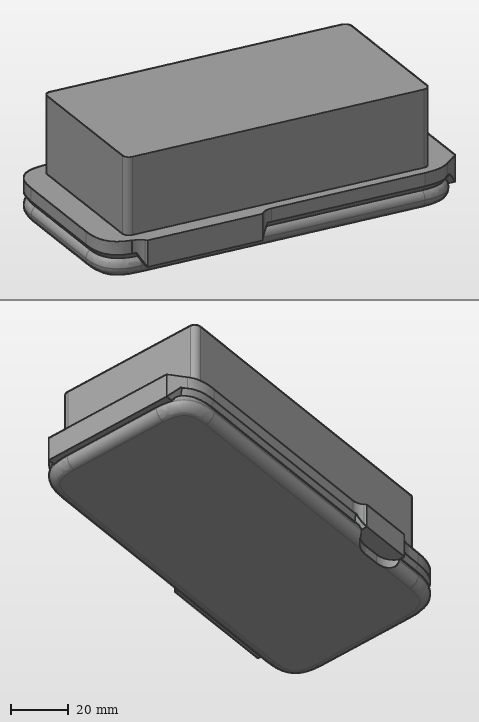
import cadquery as cq
import math

BODY_WIDTH = 68.5
OVERALL_LENGTH = 142.3
OVERALL_WIDTH = 73.3
FRONT_Y = -OVERALL_LENGTH / 2
BACK_Y = 69.0
CORNER_SIZE = 14.2
CORNER_FULLNESS = 0.7

TAB_BOTTOM = 4.0
CUSHION_TOP = 7.7
FLANGE_BOTTOM = 9.1
FLANGE_TOP = 14.2
OVERALL_HEIGHT = 44.3

GROOVE_DEPTH = 1.9
GROOVE_BOTTOM = 6.5
CUSHION_RADIUS = 0.49 * CUSHION_TOP

TAB_REACH = (OVERALL_WIDTH - BODY_WIDTH) / 2
TAB_ROOT_DEPTH = 4.3
TAB_FLARE = 3.1
TAB_ROOT_RADIUS = 5.7
LEFT_TAB_Y = (-46.5, -26.0)
RIGHT_TAB_Y = (-55.8, -10.4)
BACK_TAB_HALF_WIDTH = 26.5
BACK_TAB_FLANK_SLOPE = 0.8

SCOOP_DEPTH = 4.3
SCOOP_FLAT = 6.3

BLOCK_WIDTH = 60.0
BLOCK_LENGTH = 2 * BLOCK_WIDTH
BLOCK_CENTER = (0.3, -0.9)
BLOCK_RADIUS = 2.5


def body_outline(inset, z):
    """Rounded rectangle with soft corners, moved inward by inset."""
    x = BODY_WIDTH / 2 - inset
    front = FRONT_Y + inset
    back = BACK_Y - inset
    size = CORNER_SIZE - inset
    handle = size * (1 - CORNER_FULLNESS)
    return (
        cq.Workplane("XY", origin=(0, 0, z))
        .moveTo(-x + size, front)
        .lineTo(x - size, front)
        .bezier([(x - size, front), (x - handle, front), (x, front + handle), (x, front + size)])
        .lineTo(x, back - size)
        .bezier([(x, back - size), (x, back - handle), (x - handle, back), (x - size, back)])
        .lineTo(-x + size, back)
        .bezier([(-x + size, back), (-x + handle, back), (-x, back - handle), (-x, back - size)])
        .lineTo(-x, front + size)
        .bezier([(-x, front + size), (-x, front + handle), (-x + handle, front), (-x + size, front)])
        .close()
    )


def cushion():
    """Lower layer with a fully rounded rim."""
    layer = body_outline(0, 0).extrude(CUSHION_TOP)
    layer = layer.faces("<Z").edges().fillet(CUSHION_RADIUS)
    return layer.faces(">Z").edges().fillet(CUSHION_RADIUS)


def flange():
    """Straight-sided layer whose underside slopes inward to the groove."""
    rim = body_outline(0, FLANGE_BOTTOM).extrude(FLANGE_TOP - FLANGE_BOTTOM)
    slope = cq.Workplane(cq.Solid.makeLoft([
        body_outline(GROOVE_DEPTH, GROOVE_BOTTOM).val(),
        body_outline(0, FLANGE_BOTTOM).val(),
    ], True))
    return rim.union(slope)


def tab_envelope(plane, low, high):
    """Thick slab that narrows from the flange down to the tab underside."""
    return (
        cq.Workplane(plane)
        .polyline([
            (low, TAB_BOTTOM),
            (high, TAB_BOTTOM),
            (high + TAB_FLARE, FLANGE_BOTTOM),
            (high + CORNER_SIZE, FLANGE_BOTTOM),
            (high + CORNER_SIZE, FLANGE_TOP),
            (low - CORNER_SIZE, FLANGE_TOP),
            (low - CORNER_SIZE, FLANGE_BOTTOM),
            (low - TAB_FLARE, FLANGE_BOTTOM),
        ])
        .close()
        .extrude(OVERALL_LENGTH, both=True)
    )


def side_tab(side, y_range):
    """Tab on the left (side -1) or right (side 1) with flanks that blend into the body."""
    low, high = y_range
    edge = BODY_WIDTH / 2
    outer = edge + TAB_REACH
    root = edge - TAB_ROOT_DEPTH
    tangent = TAB_ROOT_RADIUS * math.tan(math.pi / 8)
    flank_step = tangent * math.sin(math.pi / 4)
    blend_end = TAB_REACH + tangent
    arc_mid_x = edge + TAB_ROOT_RADIUS * (1 - math.cos(math.pi / 8))
    arc_mid_y = blend_end - TAB_ROOT_RADIUS * math.sin(math.pi / 8)
    flank_end = TAB_REACH - flank_step
    plan = (
        cq.Workplane("XY", origin=(0, 0, TAB_BOTTOM))
        .moveTo(side * root, low - blend_end)
        .lineTo(side * edge, low - blend_end)
        .threePointArc((side * arc_mid_x, low - arc_mid_y), (side * (edge + flank_step), low - flank_end))
        .lineTo(side * outer, low)
        .lineTo(side * outer, high)
        .lineTo(side * (edge + flank_step), high + flank_end)
        .threePointArc((side * arc_mid_x, high + arc_mid_y), (side * edge, high + blend_end))
        .lineTo(side * root, high + blend_end)
        .close()
        .extrude(FLANGE_TOP - TAB_BOTTOM)
    )
    return plan.intersect(tab_envelope("YZ", low, high))


def back_tab():
    """Tab across the back end with sloping flanks."""
    outer = OVERALL_LENGTH / 2
    root = BACK_Y - TAB_ROOT_DEPTH
    half = BACK_TAB_HALF_WIDTH
    root_half = half + (outer - root) * BACK_TAB_FLANK_SLOPE
    plan = (
        cq.Workplane("XY", origin=(0, 0, TAB_BOTTOM))
        .polyline([(-half, outer), (half, outer), (root_half, root), (-root_half, root)])
        .close()
        .extrude(FLANGE_TOP - TAB_BOTTOM)
    )
    return plan.intersect(tab_envelope("XZ", -half, half))


def scoop():
    """Shallow recess under the left tab, flat in the middle with curved ends."""
    low, high = LEFT_TAB_Y
    middle = (low + high) / 2
    edge = -BODY_WIDTH / 2
    wall = edge + SCOOP_DEPTH
    run = (high - low - SCOOP_FLAT) / 2
    flat_low = middle - SCOOP_FLAT / 2
    flat_high = middle + SCOOP_FLAT / 2
    return (
        cq.Workplane("XY")
        .moveTo(wall, flat_low)
        .lineTo(wall, flat_high)
        .tangentArcPoint((edge, flat_high + run), relative=False)
        .lineTo(edge - TAB_REACH, high)
        .lineTo(edge - TAB_REACH, low)
        .lineTo(edge, low)
        .threePointArc(scoop_arc_middle(wall, flat_low, run), (wall, flat_low))
        .close()
        .extrude(TAB_BOTTOM)
    )


def scoop_arc_middle(wall, flat_low, run):
    """Midpoint of the arc that leaves the flat wall tangentially and ends at the body edge."""
    radius = (run**2 + SCOOP_DEPTH**2) / (2 * SCOOP_DEPTH)
    half_angle = math.asin(run / radius) / 2
    return (
        wall - radius * (1 - math.cos(half_angle)),
        flat_low - radius * math.sin(half_angle),
    )


def block():
    """Tall block with rounded upright edges."""
    return (
        cq.Workplane("XY", origin=(*BLOCK_CENTER, FLANGE_TOP))
        .rect(BLOCK_WIDTH, BLOCK_LENGTH)
        .extrude(OVERALL_HEIGHT - FLANGE_TOP)
        .edges("|Z")
        .fillet(BLOCK_RADIUS)
    )


result = (
    cushion()
    .union(flange())
    .union(side_tab(-1, LEFT_TAB_Y))
    .union(side_tab(1, RIGHT_TAB_Y))
    .union(back_tab())
    .cut(scoop())
    .union(block())
)